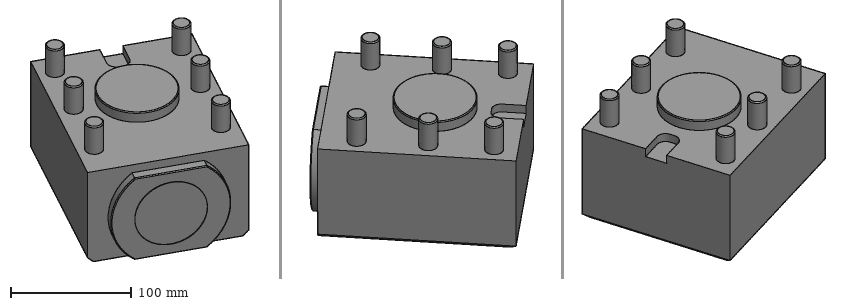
import cadquery as cq

total_length = 175.0
block_length = 166.0
block_width = 140.0
total_height = 120.0
pin_height = 28.0
block_height = total_height - pin_height
bottom_chamfer = 5.0

pin_diameter = 16.0
pin_chamfer = 1.0
middle_pin_x = 75.0
pin_columns_x = (20.0, middle_pin_x, 135.0)
pin_row_y = 55.0
boss_diameter = 70.0
boss_height = 10.0
boss_chamfer = 0.9

slot_length = 28.0
slot_width = 20.0
slot_depth = 8.0
slot_corner_radius = 8.0

flange_diameter = 104.3
flange_flat_height = 83.3
flange_center_z = 42.4
pad_diameter = 63.0
pad_thickness = 0.5
flange_thickness = total_length - block_length - pad_thickness
flange_chamfer = 0.9


def make_block():
    block = cq.Workplane("XY").box(
        block_length, block_width, block_height, centered=(False, True, False)
    )
    return block.faces("<Z").edges("<X or <Y or >Y").chamfer(bottom_chamfer)


def make_slot():
    slot = (
        cq.Workplane("XY", origin=(0, 0, block_height - slot_depth))
        .box(slot_length, slot_width, slot_depth, centered=(False, True, False))
    )
    return slot.edges("|Z and >X").fillet(slot_corner_radius)


def make_top_cylinder(x, y, diameter, height, chamfer):
    cylinder = cq.Workplane("XY", origin=(x, y, block_height)).circle(diameter / 2).extrude(height)
    return cylinder.faces(">Z").edges().chamfer(chamfer)


def make_flange():
    base_plane = cq.Workplane("YZ", origin=(block_length, 0, flange_center_z))
    flats = base_plane.rect(flange_diameter, flange_flat_height).extrude(flange_thickness)
    flange = base_plane.circle(flange_diameter / 2).extrude(flange_thickness).intersect(flats)
    flange = flange.faces(">X").edges().chamfer(flange_chamfer)
    pad = base_plane.circle(pad_diameter / 2).extrude(flange_thickness + pad_thickness)
    return flange.union(pad)


result = make_block().cut(make_slot()).union(make_flange())
result = result.union(make_top_cylinder(middle_pin_x, 0, boss_diameter, boss_height, boss_chamfer))
for pin_x in pin_columns_x:
    for pin_y in (-pin_row_y, pin_row_y):
        result = result.union(
            make_top_cylinder(pin_x, pin_y, pin_diameter, pin_height, pin_chamfer)
        )